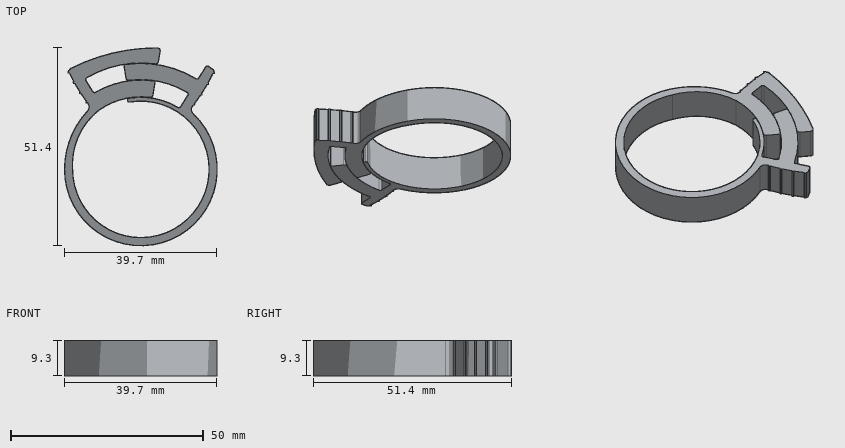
import cadquery as cq
import math

overall_length = 51.4
width = 9.3

bore_radius = 17.7
ring_radius = 19.85
opening_start = 180
open_outer_radius = 22.2
open_outer_sweep = 46.4
open_bore_middle = (18.3, 152)
open_bore_end = 126

seat_gap = 0.05
tongue_seat = 18.8
middle_seat = 23.25
upper_seat = 27.6

tongue_end = 101
right_jaw_end = 99.3
left_jaw_end = 80.7
left_pocket_end = 121.7
right_pocket_end = 57.7

jaw_top = overall_length - ring_radius
jaw_back_radius = 49.35
jaw_back_x = 4.1

arm_reach = 32.0
left_arm_angle = 128.8
right_arm_angle = 50.8
arm_lean = 2.6
arm_middle = (ring_radius + arm_reach) / 2

tooth_count = 4
top_tooth_radius = 31.1
left_tooth_pitch = 3.0
right_tooth_pitch = 3.2
tooth_overhang = 0.35
tooth_crown_out = 0.4
tooth_crown_height = 0.35
tooth_height = 0.7
tooth_root = 0.2

neck_fillet = 1.55
arm_corner_fillet = 0.9
jaw_fillet = 0.75
tip_fillet = 0.3
post_fillet = 0.5
pocket_fillet = 0.5
tongue_fillet = 0.45


def polar(radius, angle):
    return (radius * math.cos(math.radians(angle)), radius * math.sin(math.radians(angle)))


def arm_side(radius, ring_angle, lean):
    """Point on an arm's outer side; the lean grows with the square of the reach."""
    reach = (radius - ring_radius) / (arm_reach - ring_radius)
    return polar(radius, ring_angle + lean * reach ** 2)


def left_side(radius):
    return arm_side(radius, left_arm_angle, -arm_lean)


def right_side(radius):
    return arm_side(radius, right_arm_angle, arm_lean)


def open_outer(sweep):
    """Point on the outside of the opened part, swept clockwise from its start."""
    x, y = polar(open_outer_radius, opening_start - sweep)
    return (x + open_outer_radius - ring_radius, y)


def jaw_back(x):
    """Point on the back of the upper left jaw."""
    drop = jaw_back_radius - math.sqrt(jaw_back_radius ** 2 - (x - jaw_back_x) ** 2)
    return (x, jaw_top - drop)


def arc_to(outline, radius, start, end):
    """Continue the outline along a circle about the ring axis."""
    return outline.threePointArc(polar(radius, (start + end) / 2), polar(radius, end))


tongue_outer = tongue_seat - seat_gap
right_jaw_inner = middle_seat + seat_gap
right_jaw_outer = upper_seat - seat_gap
jaw_tip = jaw_back(polar(arm_reach, left_jaw_end)[0])
left_arm_corner = jaw_back(left_side(arm_reach)[0])
left_neck = open_outer(open_outer_sweep)
right_neck = right_side(ring_radius)
post_outer = right_side(arm_reach)
post_inner = polar(arm_reach, right_pocket_end)


def clamp_body():
    outline = cq.Workplane("XY").moveTo(*polar(bore_radius, tongue_end))
    outline = arc_to(outline, bore_radius, tongue_end, opening_start - 360)
    outline = outline.threePointArc(polar(*open_bore_middle), polar(tongue_seat, open_bore_end))
    outline = arc_to(outline, tongue_seat, open_bore_end, left_jaw_end)
    outline = outline.lineTo(*polar(middle_seat, left_jaw_end))
    outline = arc_to(outline, middle_seat, left_jaw_end, left_pocket_end)
    outline = outline.lineTo(*polar(upper_seat, left_pocket_end))
    outline = arc_to(outline, upper_seat, left_pocket_end, left_jaw_end)
    outline = outline.lineTo(*jaw_tip)
    jaw_back_middle = jaw_back((jaw_tip[0] + left_arm_corner[0]) / 2)
    outline = outline.threePointArc(jaw_back_middle, left_arm_corner)
    outline = outline.threePointArc(left_side(arm_middle), left_neck)
    outline = outline.threePointArc(open_outer(open_outer_sweep / 2), open_outer(0))
    outline = arc_to(outline, ring_radius, opening_start, right_arm_angle + 360)
    outline = outline.threePointArc(right_side(arm_middle), post_outer)
    outline = outline.lineTo(*post_inner)
    outline = outline.lineTo(*polar(right_jaw_outer, right_pocket_end))
    outline = arc_to(outline, right_jaw_outer, right_pocket_end, right_jaw_end)
    outline = outline.lineTo(*polar(right_jaw_inner, right_jaw_end))
    outline = arc_to(outline, right_jaw_inner, right_jaw_end, right_pocket_end)
    outline = outline.lineTo(*polar(tongue_outer, right_pocket_end))
    outline = arc_to(outline, tongue_outer, right_pocket_end, tongue_end)
    return outline.close().extrude(width)


def round_corners(body):
    corners = [
        (left_neck, neck_fillet),
        (right_neck, neck_fillet),
        (left_arm_corner, arm_corner_fillet),
        (jaw_tip, jaw_fillet),
        (polar(upper_seat, left_jaw_end), jaw_fillet),
        (polar(middle_seat, left_jaw_end), tip_fillet),
        (polar(tongue_seat, left_jaw_end), jaw_fillet),
        (polar(right_jaw_outer, right_jaw_end), tip_fillet),
        (polar(right_jaw_inner, right_jaw_end), jaw_fillet),
        (polar(middle_seat, left_pocket_end), pocket_fillet),
        (polar(upper_seat, left_pocket_end), pocket_fillet),
        (polar(right_jaw_outer, right_pocket_end), pocket_fillet),
        (polar(right_jaw_inner, right_pocket_end), pocket_fillet),
        (polar(tongue_outer, right_pocket_end), pocket_fillet),
        (post_outer, post_fillet),
        (post_inner, post_fillet),
        (polar(tongue_outer, tongue_end), tongue_fillet),
        (polar(bore_radius, tongue_end), tongue_fillet),
    ]
    for (x, y), radius in corners:
        edge = cq.selectors.NearestToPointSelector((x, y, width / 2))
        body = body.edges("|Z").edges(edge).fillet(radius)
    return body


def tooth(root, outward):
    """Barb with a flat underside at the root point; outward is -1 (left) or +1 (right)."""
    x, y = root
    inner_x = x - outward * tooth_root
    profile = [
        (inner_x, y),
        (x + outward * tooth_overhang, y),
        (x + outward * tooth_crown_out, y + tooth_crown_height),
        (x + outward * tooth_root, y + tooth_height),
        (inner_x, y + tooth_height),
    ]
    return cq.Workplane("XY").polyline(profile).close().extrude(width)


result = round_corners(clamp_body())
for i in range(tooth_count):
    result = result.union(tooth(left_side(top_tooth_radius - i * left_tooth_pitch), -1))
    result = result.union(tooth(right_side(top_tooth_radius - i * right_tooth_pitch), 1))